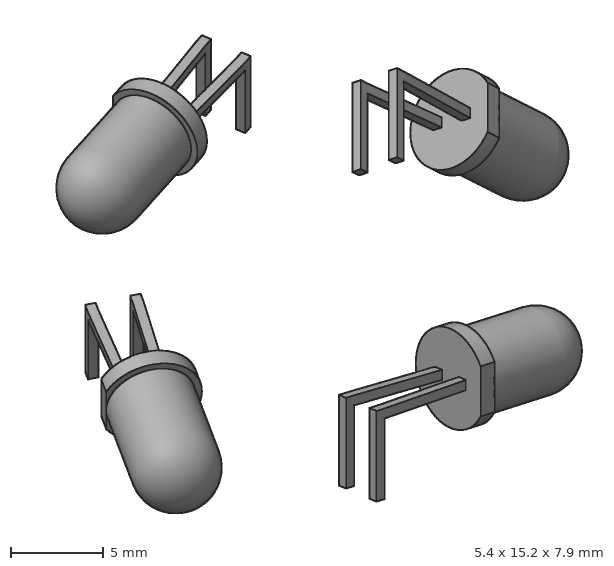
import cadquery as cq

total_length = 15.25
body_diameter = 5.0
body_radius = body_diameter / 2
cylinder_length = 5.11
flange_diameter = 5.8
flange_radius = flange_diameter / 2
flange_thickness = 1.0
lead_size = 0.6
lead_bottom = -5.0
lead_spacing_at_flange = 1.98
lead_spacing_at_bend = 2.53

dome_tip = -body_radius
flange_front = cylinder_length
flange_back = flange_front + flange_thickness
lead_back = dome_tip + total_length
bend_front = lead_back - lead_size


def make_body():
    """Round body with a hemispherical dome, revolved about Y."""
    dome_middle = body_radius * 0.5**0.5
    return (
        cq.Workplane("XY")
        .moveTo(0, dome_tip)
        .threePointArc((dome_middle, -dome_middle), (body_radius, 0))
        .lineTo(body_radius, flange_front)
        .lineTo(0, flange_front)
        .close()
        .revolve(360, (0, 0, 0), (0, 1, 0))
    )


def make_flange():
    """Disc with a flat on its -X side, level with the body surface."""
    disc = (
        cq.Workplane("XZ", origin=(0, flange_front, 0))
        .circle(flange_radius)
        .extrude(-flange_thickness)
    )
    keep = cq.Workplane("XY").box(
        body_radius + flange_radius, total_length, flange_diameter, centered=(False, True, True)
    ).translate((-body_radius, flange_front, 0))
    return disc.intersect(keep)


def make_lead(side):
    """Square lead that splays outwards from the flange, then drops straight down."""
    half = lead_size / 2
    near_x = side * lead_spacing_at_flange / 2
    far_x = side * lead_spacing_at_bend / 2
    run = (
        cq.Workplane("XY", origin=(0, 0, -half))
        .polyline([
            (near_x - half, flange_back),
            (near_x + half, flange_back),
            (far_x + half, bend_front),
            (far_x + half, lead_back),
            (far_x - half, lead_back),
            (far_x - half, bend_front),
        ])
        .close()
        .extrude(lead_size)
    )
    leg = (
        cq.Workplane("XY", origin=(far_x, lead_back - half, lead_bottom))
        .rect(lead_size, lead_size)
        .extrude(half - lead_bottom)
    )
    return run.union(leg)


result = make_body().union(make_flange())
for side in (-1, 1):
    result = result.union(make_lead(side))

result = result.translate((0, -(dome_tip + lead_back) / 2, 0))